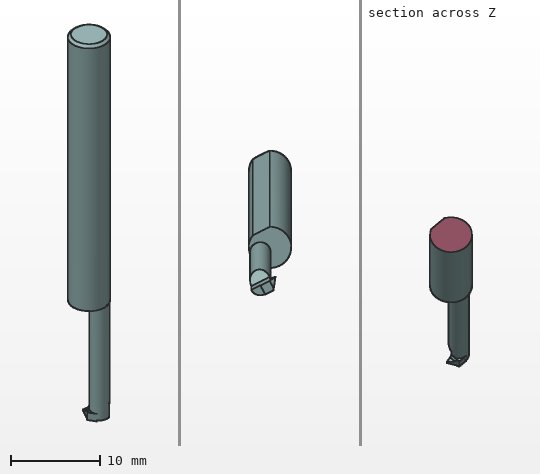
import cadquery as cq

total_length = 50.8
shank_diameter = 4.8
shank_radius = shank_diameter / 2
shank_depth = 4.5
flat_y = shank_depth - shank_radius
end_chamfer = 0.35

neck_length = 15.35
neck_radius = 1.15
neck_center_x = shank_radius - neck_radius
neck_left_x = neck_center_x - neck_radius
neck_end_z = 0.15

relief_low_z = 1.9
relief_high_z = 2.9

head_left_x = 0.15
head_height = 1.0
tip_x = -0.7
tip_low_z = 0.4
tip_high_z = 0.55
tooth_root_low_z = 0.1
tooth_shoulder_x = -0.15
tooth_shoulder_z = 0.9
tooth_root_high_z = 1.25


def make_shank():
    cylinder = (
        cq.Workplane("XY").workplane(offset=neck_length)
        .circle(shank_radius).extrude(total_length - neck_length)
        .faces(">Z").chamfer(end_chamfer)
    )
    flat_cutter = (
        cq.Workplane("XY")
        .box(shank_diameter, shank_diameter, total_length, centered=(True, False, False))
        .translate((0, flat_y, 0))
    )
    return cylinder.cut(flat_cutter)


def make_neck():
    cylinder = (
        cq.Workplane("XY").workplane(offset=neck_end_z).center(neck_center_x, 0)
        .circle(neck_radius).extrude(neck_length - neck_end_z)
    )
    relief = (
        cq.Workplane("YZ").workplane(offset=neck_left_x)
        .polyline([(0, 0), (0, relief_low_z), (neck_radius, relief_high_z), (neck_radius, 0)])
        .close().extrude(2 * neck_radius)
    )
    return cylinder.cut(relief)


def make_head():
    return (
        cq.Workplane("XY")
        .moveTo(head_left_x, -neck_radius).lineTo(neck_center_x, -neck_radius)
        .lineTo(neck_center_x, 0).lineTo(head_left_x, 0)
        .close().extrude(head_height)
    )


def make_tooth():
    profile = (
        cq.Workplane("XZ")
        .polyline([
            (neck_center_x, 0),
            (neck_left_x, 0),
            (neck_left_x, tooth_root_low_z),
            (tip_x, tip_low_z),
            (tip_x, tip_high_z),
            (tooth_shoulder_x, tooth_shoulder_z),
            (neck_left_x, tooth_root_high_z),
            (head_left_x, head_height),
            (neck_center_x, head_height),
        ])
        .close().extrude(neck_radius)
    )
    clearance = (
        cq.Workplane("XY")
        .polyline([
            (tip_x, 0),
            (head_left_x, -neck_radius),
            (neck_center_x, -neck_radius),
            (neck_center_x, 0),
        ])
        .close().extrude(tooth_root_high_z)
    )
    return profile.intersect(clearance)


result = make_shank().union(make_neck()).union(make_head()).union(make_tooth())